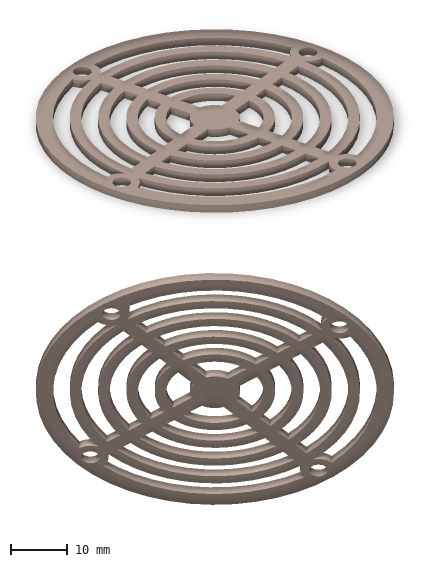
import cadquery as cq

outer_radius = 31.5
thickness = 1.5

rim_inner_radius = 28.5
ring_width = 2.0
ring_pitch = 5.0
largest_ring_radius = 25.5
ring_count = 4

hub_radius = 4.4
spoke_width = 2.85

hole_radius = 1.65
boss_radius = 3.2
hole_circle_radius = rim_inner_radius
hole_count = 4


def ring(ring_outer_radius, ring_inner_radius):
    """Flat annulus of the grille thickness."""
    return cq.Workplane("XY").circle(ring_outer_radius).circle(ring_inner_radius).extrude(thickness)


def discs_on_hole_circle(radius):
    """One disc at each mounting position, on the X and Y axes."""
    return (
        cq.Workplane("XY")
        .polarArray(hole_circle_radius, 0, 360, hole_count)
        .circle(radius)
        .extrude(thickness)
    )


grille = ring(outer_radius, rim_inner_radius)

for index in range(ring_count):
    ring_outer_radius = largest_ring_radius - index * ring_pitch
    grille = grille.union(ring(ring_outer_radius, ring_outer_radius - ring_width))

hub = cq.Workplane("XY").circle(hub_radius).extrude(thickness)
spoke_length = 2 * hole_circle_radius
spoke_x = cq.Workplane("XY").rect(spoke_length, spoke_width).extrude(thickness)
spoke_y = cq.Workplane("XY").rect(spoke_width, spoke_length).extrude(thickness)
grille = grille.union(hub).union(spoke_x).union(spoke_y)

outer_disc = cq.Workplane("XY").circle(outer_radius).extrude(thickness)
bosses = discs_on_hole_circle(boss_radius).intersect(outer_disc)
grille = grille.union(bosses)

result = grille.cut(discs_on_hole_circle(hole_radius))